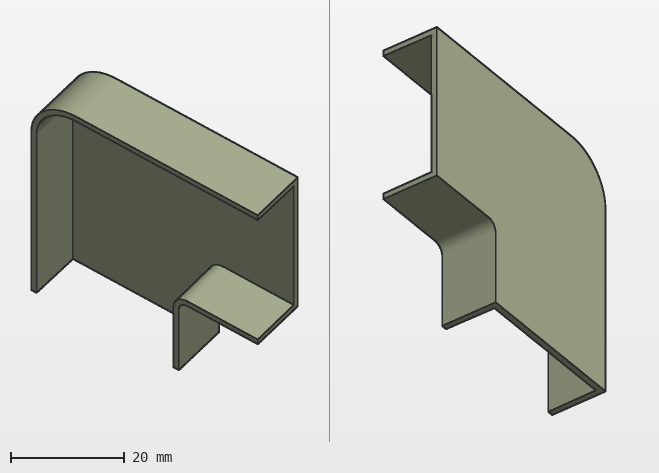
import cadquery as cq
import math

length = 50.0
depth = 11.7
leg_width = 32.6

rim_wall = 1.2
root_wall = 1.3
back_thickness = 1.2

outer_radius = 10.0
notch_outer_radius = 2.0


def corner_outline(inset, y):
    """L-shaped outline at depth y, inset along its long and notch sides but not at the leg ends."""
    left = inset
    top = length - inset
    leg_edge = leg_width - inset
    notch_edge = length - leg_edge
    corner_radius = outer_radius - inset
    notch_radius = notch_outer_radius + inset
    corner_mid = corner_radius * (1 - math.sqrt(0.5))
    notch_mid = notch_radius * (1 - math.sqrt(0.5))
    return (
        cq.Workplane("XZ", origin=(0, y, 0))
        .moveTo(left, 0)
        .lineTo(leg_edge, 0)
        .lineTo(leg_edge, notch_edge - notch_radius)
        .threePointArc(
            (leg_edge + notch_mid, notch_edge - notch_mid),
            (leg_edge + notch_radius, notch_edge),
        )
        .lineTo(length, notch_edge)
        .lineTo(length, top)
        .lineTo(left + corner_radius, top)
        .threePointArc((left + corner_mid, top - corner_mid), (left, top - corner_radius))
        .close()
    )


body = corner_outline(0, depth).extrude(depth)

rim_outline = corner_outline(rim_wall, 0).val()
root_outline = corner_outline(root_wall, depth - back_thickness).val()
channel = cq.Solid.makeLoft([rim_outline, root_outline], ruled=True)

result = body.cut(cq.Workplane(channel))